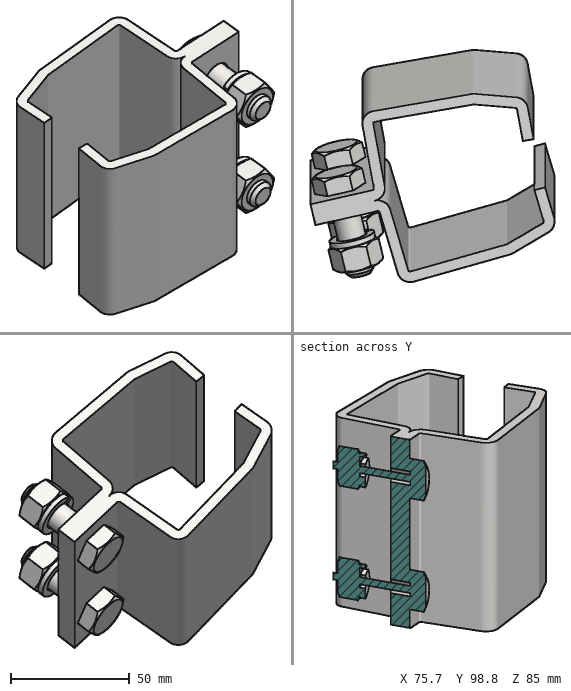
import cadquery as cq
import math


height = 85.0
plate_thickness = 4.6
inner_bend_radius = 0.9
flange_length = 26.8
back_length = 27.2
side_length = 42.2
taper_length = 17.4
lip_length = 13.8
lean_angle = 3.0
taper_bend = 15.0

flange_heading = 270.0
back_heading = 180.0 + lean_angle
side_heading = 270.0 + lean_angle
taper_heading = side_heading + taper_bend
lip_heading = 360.0 + lean_angle

flats = [
    (flange_length, flange_heading),
    (back_length, back_heading),
    (side_length, side_heading),
    (taper_length, taper_heading),
    (lip_length, lip_heading),
]

bolt_spacing = 50.1
bolt_y = 13.8
bolt_diameter = 12.0
clearance_diameter = 13.0
shank_length = 38.2
tip_chamfer_length = 1.8
tip_diameter = 8.7

across_flats = 19.0
hex_face_diameter = 18.0
hex_chamfer_angle = 30.0
head_height = 7.4
nut_height = 10.8

washer_start_x = 16.6
washer_thickness = 2.5
washer_diameter = 19.4
washer_gap = 2.5
washer_gap_angle = 54.0


def bent_plate():
    """Left plate, swept along the middle line of its thickness."""
    middle_radius = inner_bend_radius + plate_thickness / 2
    path = cq.Workplane("XY").moveTo(-plate_thickness / 2, flange_length)
    heading = flange_heading
    for length, next_heading in flats:
        turn = next_heading - heading
        if turn:
            chord = 2 * middle_radius * math.sin(math.radians(abs(turn) / 2))
            chord_heading = math.radians(heading + turn / 2)
            chord_end = (chord * math.cos(chord_heading), chord * math.sin(chord_heading))
            path = path.tangentArcPoint(chord_end, relative=True)
        path = path.polarLine(length, next_heading)
        heading = next_heading
    section = cq.Workplane("XZ", origin=(-plate_thickness / 2, flange_length, 0))
    return section.rect(plate_thickness, height).sweep(path)


def disc(start_x, length, diameter):
    """Cylinder along +X on the bolt axis."""
    return cq.Workplane("YZ", origin=(start_x, 0, 0)).circle(diameter / 2).extrude(length)


def hexagon(start_x, length, chamfer_start, chamfer_end):
    """Hexagon along +X with corners towards +Y and -Y and each end cone-chamfered or flat."""
    corner_radius = across_flats / math.sqrt(3)
    face_radius = hex_face_diameter / 2
    slope = math.tan(math.radians(hex_chamfer_angle))
    depth = (corner_radius - face_radius) * slope
    end_x = start_x + length
    turned = cq.Workplane("XY").moveTo(start_x, 0)
    if chamfer_start:
        turned = turned.lineTo(start_x, face_radius).lineTo(start_x + depth, corner_radius)
    else:
        turned = turned.lineTo(start_x, corner_radius)
    if chamfer_end:
        turned = turned.lineTo(end_x - depth, corner_radius).lineTo(end_x, face_radius)
    else:
        turned = turned.lineTo(end_x, corner_radius)
    turned = turned.lineTo(end_x, 0).close().revolve(360, (0, 0, 0), (1, 0, 0))
    prism = cq.Workplane("YZ", origin=(start_x, 0, 0)).polygon(6, 2 * corner_radius).extrude(length)
    return prism.intersect(turned)


def shank():
    """Round shank from the head to a coned tip."""
    radius = bolt_diameter / 2
    start_x = -plate_thickness
    tip_x = start_x + shank_length
    return (
        cq.Workplane("XY")
        .moveTo(start_x, 0)
        .lineTo(start_x, radius)
        .lineTo(tip_x - tip_chamfer_length, radius)
        .lineTo(tip_x, tip_diameter / 2)
        .lineTo(tip_x, 0)
        .close()
        .revolve(360, (0, 0, 0), (1, 0, 0))
    )


def spring_washer():
    """Ring split by one radial gap."""
    ring = disc(washer_start_x, washer_thickness, washer_diameter)
    ring = ring.cut(disc(washer_start_x, washer_thickness, clearance_diameter))
    gap = (
        cq.Workplane("XY", origin=(washer_start_x + washer_thickness / 2, 0, 0))
        .rect(washer_thickness, washer_gap)
        .extrude(washer_diameter)
        .rotate((0, 0, 0), (1, 0, 0), washer_gap_angle)
    )
    return ring.cut(gap)


def bolt_set():
    """Bolt, spring washer and nut on the X axis."""
    nut_start_x = washer_start_x + washer_thickness
    head = hexagon(-plate_thickness - head_height, head_height, True, False)
    nut = hexagon(nut_start_x, nut_height, True, True)
    return head.union(shank()).union(nut).union(spring_washer())


left_plate = bent_plate()
result = left_plate.union(left_plate.mirror("YZ"))

for bolt_z in (-bolt_spacing / 2, bolt_spacing / 2):
    bolt_position = (0, bolt_y, bolt_z)
    hole = disc(-plate_thickness, 2 * plate_thickness, clearance_diameter)
    result = result.cut(hole.translate(bolt_position))
    result = result.union(bolt_set().translate(bolt_position))